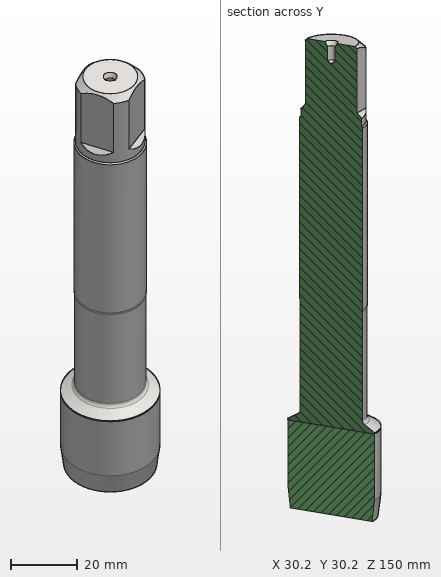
import cadquery as cq
import math

total_length = 150.0
thread_length = 28.0

thread_diameter = 30.16
lead_length = 7.0
lead_tip_diameter = 28.4

shoulder_rim_height = 0.4
shoulder_slope = 30.0
neck_diameter = 21.7
neck_fillet_radius = 1.5

shank_diameter = 22.0
shank_start = 66.2
shank_step_height = 0.85
shank_end = 125.0
shank_chamfer = 0.44

drive_diameter = 21.12
across_flats = 18.0
flat_length = 21.0
flat_runout_angle = 45.0
tip_face_diameter = 16.6
tip_chamfer_height = 2.0

centre_hole_diameter = 2.5
centre_hole_depth = 6.0
countersink_diameter = 4.2
countersink_angle = 60.0
drill_point_angle = 120.0


def revolve_profile(points):
    """Revolve a closed (radius, height) outline about the Z axis."""
    return cq.Workplane("XZ").polyline(points).close().revolve(360, (0, 0, 0), (0, 1, 0))


def make_threaded_head():
    """Plain cylinder at the thread's outer diameter with a tapered lead."""
    return revolve_profile([
        (0, 0),
        (lead_tip_diameter / 2, 0),
        (thread_diameter / 2, lead_length),
        (thread_diameter / 2, thread_length),
        (0, thread_length),
    ])


def make_turned_shank():
    """Shoulder, neck, shank and drive blank, with a fillet at the foot of the neck."""
    rim_top = thread_length + shoulder_rim_height
    shoulder_width = (thread_diameter - neck_diameter) / 2
    neck_start = rim_top + shoulder_width * math.tan(math.radians(shoulder_slope))
    body = revolve_profile([
        (0, thread_length),
        (thread_diameter / 2, thread_length),
        (thread_diameter / 2, rim_top),
        (neck_diameter / 2, neck_start),
        (neck_diameter / 2, shank_start),
        (shank_diameter / 2, shank_start + shank_step_height),
        (shank_diameter / 2, shank_end - shank_chamfer),
        (drive_diameter / 2, shank_end),
        (drive_diameter / 2, total_length - tip_chamfer_height),
        (tip_face_diameter / 2, total_length),
        (0, total_length),
    ])
    neck_foot = cq.NearestToPointSelector((0, 0, neck_start))
    return body.edges("%CIRCLE").edges(neck_foot).fillet(neck_fillet_radius)


def make_flat_cutter():
    """Wedge-ended block that cuts the drive flat on the +X side."""
    flat_x = across_flats / 2
    outer_x = shank_diameter / 2
    flat_bottom = total_length - flat_length
    runout_drop = (outer_x - flat_x) / math.tan(math.radians(flat_runout_angle))
    return (
        cq.Workplane("XZ")
        .polyline([
            (flat_x, total_length),
            (flat_x, flat_bottom),
            (outer_x, flat_bottom - runout_drop),
            (outer_x, total_length),
        ])
        .close()
        .extrude(shank_diameter / 2, both=True)
    )


def make_centre_hole():
    """Countersunk blind hole with a conical drill point."""
    hole_radius = centre_hole_diameter / 2
    countersink_radius = countersink_diameter / 2
    countersink_depth = (countersink_radius - hole_radius) / math.tan(math.radians(countersink_angle / 2))
    point_length = hole_radius / math.tan(math.radians(drill_point_angle / 2))
    hole_floor = total_length - centre_hole_depth
    return revolve_profile([
        (0, total_length),
        (countersink_radius, total_length),
        (hole_radius, total_length - countersink_depth),
        (hole_radius, hole_floor),
        (0, hole_floor - point_length),
    ])


def make_shank():
    """Turned shank with four drive flats and the centre hole."""
    shank = make_turned_shank()
    flat_count = 4
    for index in range(flat_count):
        turn = index * 360 / flat_count
        shank = shank.cut(make_flat_cutter().rotate((0, 0, 0), (0, 0, 1), turn))
    return shank.cut(make_centre_hole())


threaded_head = make_threaded_head()
shank = make_shank()

result = cq.Compound.makeCompound([threaded_head.val(), shank.val()])